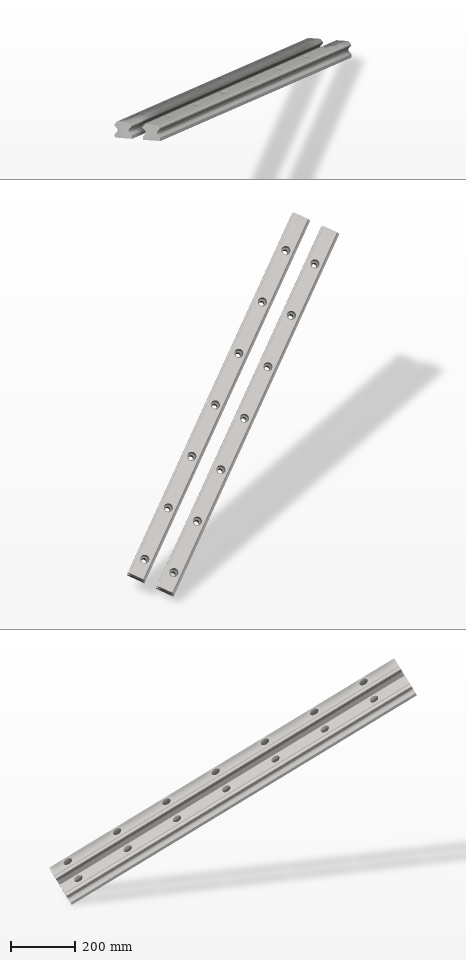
import cadquery as cq
import math

RAIL_COUNT = 2
RAIL_LENGTH = 1260.0
RAIL_SPACING = 100.0

RAIL_HEIGHT = 52.0
FOOT_WIDTH = 61.0
FOOT_SIDE_HEIGHT = 10.0
WAIST_WIDTH = 40.0
HEAD_WIDTH = 61.0
HEAD_SIDE_HEIGHT = 3.8
TOP_WIDTH = 43.0

RACEWAY_MARGIN = 0.22
RACEWAY_CHORD = 0.7
RACEWAY_DEPTH = 0.09

HOLE_COUNT = 7
HOLE_PITCH = 180.0
HOLE_ROW_SHIFT = -30.0
COUNTERBORE_DIAMETER = 28.0
COUNTERBORE_DEPTH = 24.0
HOLE_DIAMETER = 16.0

AZIMUTH = -59.5
ELEVATION = 29.8
ROLL = 20.4


def rail_directions():
    """Unit vectors along the rails, across them and up through their top faces."""
    azimuth = math.radians(AZIMUTH)
    elevation = math.radians(ELEVATION)
    roll = math.radians(ROLL)
    along = cq.Vector(
        math.cos(elevation) * math.cos(azimuth),
        math.cos(elevation) * math.sin(azimuth),
        math.sin(elevation),
    )
    level = cq.Vector(-math.sin(azimuth), math.cos(azimuth), 0)
    across = level * math.cos(roll) + along.cross(level) * math.sin(roll)
    up = along.cross(across)
    return along, across, up


ALONG, ACROSS, UP = rail_directions()


def mirrored(point):
    """The same point on the other side of the section."""
    return (-point[0], point[1])


def rail_section(plane):
    """Closed outline of the rail, symmetric about the middle of its base."""
    diagonal = math.sqrt(55.31)
    half_top = TOP_WIDTH / 2
    half_head = HEAD_WIDTH / 2
    half_waist = WAIST_WIDTH / 2
    half_foot = FOOT_WIDTH / 2
    head_side_top = RAIL_HEIGHT - (half_head - half_top)
    head_side_bottom = head_side_top - HEAD_SIDE_HEIGHT

    def on_upper_slope(distance, depth=0.0):
        """Point at a distance down the slope from the top edge and a depth below it."""
        return (
            half_top + (distance - depth) * diagonal,
            RAIL_HEIGHT - (distance + depth) * diagonal,
        )

    groove_top = on_upper_slope(RACEWAY_MARGIN)
    groove_middle = on_upper_slope(RACEWAY_MARGIN + RACEWAY_CHORD / 2, RACEWAY_DEPTH)
    groove_bottom = on_upper_slope(RACEWAY_MARGIN + RACEWAY_CHORD)

    side = [
        (half_foot, 0),
        (half_foot, FOOT_SIDE_HEIGHT),
        (half_waist, FOOT_SIDE_HEIGHT + half_foot - half_waist),
        (half_waist, head_side_bottom - (half_head - half_waist)),
        (half_head, head_side_bottom),
        (half_head, head_side_top),
        groove_bottom,
    ]
    other_side = [mirrored(point) for point in reversed(side)]

    section = cq.Workplane(plane).polyline(side)
    section = section.threePointArc(groove_middle, groove_top)
    section = section.lineTo(half_top, RAIL_HEIGHT)
    section = section.lineTo(-half_top, RAIL_HEIGHT)
    section = section.lineTo(*mirrored(groove_top))
    section = section.threePointArc(mirrored(groove_middle), other_side[0])
    for point in other_side[1:]:
        section = section.lineTo(*point)
    return section.close()


def bolt_holes(base_middle):
    """Row of counterbored holes going down through a rail from its top face."""
    top_middle = base_middle + UP * RAIL_HEIGHT
    plane = cq.Plane(origin=top_middle.toTuple(), xDir=ALONG.toTuple(), normal=UP.toTuple())
    first = HOLE_ROW_SHIFT - HOLE_PITCH * (HOLE_COUNT - 1) / 2
    places = [(first + i * HOLE_PITCH, 0) for i in range(HOLE_COUNT)]
    row = cq.Workplane(plane).pushPoints(places)
    through = row.circle(HOLE_DIAMETER / 2).extrude(-RAIL_HEIGHT)
    counterbores = row.circle(COUNTERBORE_DIAMETER / 2).extrude(-COUNTERBORE_DEPTH)
    return through.union(counterbores)


def rail(side_offset):
    """One rail, set off sideways from the middle of the pair."""
    base_middle = ACROSS * side_offset
    start = base_middle - ALONG * (RAIL_LENGTH / 2)
    plane = cq.Plane(origin=start.toTuple(), xDir=ACROSS.toTuple(), normal=ALONG.toTuple())
    body = rail_section(plane).extrude(RAIL_LENGTH)
    return body.cut(bolt_holes(base_middle))


rails = []
for index in range(RAIL_COUNT):
    rails.append(rail((index - (RAIL_COUNT - 1) / 2) * RAIL_SPACING))

result = cq.Compound.makeCompound([body.val() for body in rails])